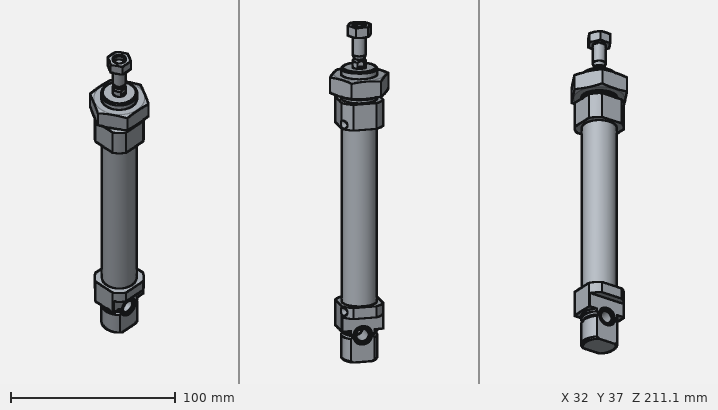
import cadquery as cq
import math

total_length = 211.1
pivot_z = 16.9
tail_groove_z = 16.7
rear_head_bottom = 20.0
rear_step_z = 29.1
tube_bottom = 36.0
front_head_bottom = 148.5
front_head_top = 164.7
collar_top = 166.5
nut_bottom = 168.7
nut_top = 179.9
thread_top = 184.3

tube_diameter = 21.3
thread_diameter = 22.0
groove_diameter = 19.6
thread_end_diameter = 20.0
thread_chamfer = (thread_diameter - thread_end_diameter) / 2
head_width = 26.2
head_corner_diameter = 30.0
tongue_width = 16.0
tail_groove_diameter = 19.6
tail_groove_height = 3.2
tail_chamfer = 1.0
relief_height = 2.0
relief_top = collar_top + relief_height

pivot_diameter = 8.0
pivot_recess_diameter = 11.6
pivot_recess_floor_diameter = 10.1
pivot_recess_depth = 0.8
port_diameter = 5.0
port_offset_x = -8.2
port_depth = 8.5
front_port_z = front_head_bottom + 3.0
rear_port_z = tube_bottom - 3.2

nut_corners = 37.0
nut_chamfer_diameter = 30.8
nut_chamfer_angle = 15.0

rod_diameter = 8.0
rod_bore_depth = 8.5
rod_flats = 7.0
rod_neck_diameter = 6.1
wrench_flat_bottom = 185.5
rod_neck_bottom = 188.3
rod_neck_z = 189.8
rod_neck_top = 192.3
rod_tip_diameter = 6.8
rod_tip_top = 208.0

lock_nut_corners = 14.8
lock_nut_chamfer_diameter = 12.5
lock_nut_height = 6.5
lock_nut_bottom = total_length - lock_nut_height
lock_nut_countersink = (rod_diameter - rod_tip_diameter) / 2


def revolve_about_z(profile):
    """Solid of revolution from (radius, height) points."""
    return cq.Workplane("XZ").polyline(profile).close().revolve(360, (0, 0), (0, 1))


def hex_nut(corners, chamfer_diameter, bottom, top):
    """Hexagonal prism with two flats facing along X and its corners chamfered at both ends."""
    prism = cq.Workplane("XY").workplane(offset=bottom).polygon(6, corners).extrude(top - bottom)
    prism = prism.rotate((0, 0, 0), (0, 0, 1), 30)
    inner = chamfer_diameter / 2
    outer = corners / 2
    drop = (outer - inner) * math.tan(math.radians(nut_chamfer_angle))
    envelope = [
        (0, bottom),
        (inner, bottom),
        (outer, bottom + drop),
        (outer, top - drop),
        (inner, top),
        (0, top),
    ]
    return prism.intersect(revolve_about_z(envelope))


def disc(diameter, bottom, top):
    """Cylinder on the Z axis between two heights."""
    return cq.Workplane("XY").workplane(offset=bottom).circle(diameter / 2).extrude(top - bottom)


def head_block(bottom, top):
    """Square head with its corners rounded about the cylinder axis."""
    height = top - bottom
    block = cq.Workplane("XY").workplane(offset=bottom).rect(head_width, head_width).extrude(height)
    return block.intersect(disc(head_corner_diameter, bottom, top))


def tail_stub():
    """Round tail with a tapered groove and a chamfered end."""
    outer = thread_diameter / 2
    inner = tail_groove_diameter / 2
    half = tail_groove_height / 2
    profile = [
        (0, 0),
        (outer - tail_chamfer, 0),
        (outer, tail_chamfer),
        (outer, tail_groove_z - half),
        (inner, tail_groove_z),
        (outer, tail_groove_z + half),
        (outer, rear_head_bottom),
        (0, rear_head_bottom),
    ]
    return revolve_about_z(profile)


def rear_head():
    """Rear head whose lower part and tail are cut to a flat tongue."""
    lower = head_block(rear_head_bottom, rear_step_z).union(tail_stub())
    slab = cq.Workplane("XY").rect(tongue_width, head_corner_diameter).extrude(rear_step_z)
    return lower.intersect(slab).union(head_block(rear_step_z, tube_bottom))


def front_thread():
    """Mounting thread with a square relief groove above its collar and a chamfered end."""
    outer = thread_diameter / 2
    groove = groove_diameter / 2
    return (
        cq.Workplane("XZ")
        .moveTo(0, front_head_top)
        .lineTo(outer, front_head_top)
        .lineTo(outer, collar_top)
        .lineTo(groove, collar_top)
        .lineTo(groove, relief_top)
        .lineTo(outer, relief_top)
        .lineTo(outer, thread_top - thread_chamfer)
        .lineTo(outer - thread_chamfer, thread_top)
        .lineTo(0, thread_top)
        .close()
        .revolve(360, (0, 0), (0, 1))
    )


def pivot_hole():
    """Cross hole along X with a shallow tapered recess around each mouth."""
    radius = pivot_diameter / 2
    mouth = pivot_recess_diameter / 2
    floor = pivot_recess_floor_diameter / 2
    half = tongue_width / 2
    inset = half - pivot_recess_depth
    profile = [
        (-half, 0),
        (-half, mouth),
        (-inset, floor),
        (-inset, radius),
        (inset, radius),
        (inset, floor),
        (half, mouth),
        (half, 0),
    ]
    hole = cq.Workplane("XY").polyline(profile).close().revolve(360, (0, 0), (1, 0))
    return hole.translate((0, 0, pivot_z))


def port(height):
    """Blind air port entering the +Y side of a head."""
    return (
        cq.Workplane("XZ", origin=(port_offset_x, head_width / 2, height))
        .circle(port_diameter / 2)
        .extrude(port_depth)
    )


def make_housing():
    """Tube with both heads, its ports, pivot hole and rod bore."""
    front_head = head_block(front_head_bottom, front_head_top).union(front_thread())
    housing = rear_head().union(disc(tube_diameter, tube_bottom, front_head_bottom)).union(front_head)
    for port_z in (front_port_z, rear_port_z):
        housing = housing.cut(port(port_z))
    housing = housing.cut(pivot_hole())
    return housing.cut(disc(rod_diameter, thread_top - rod_bore_depth, thread_top))


def make_mounting_nut():
    """Large hexagonal nut on the front thread."""
    nut = hex_nut(nut_corners, nut_chamfer_diameter, nut_bottom, nut_top)
    return nut.cut(disc(thread_diameter, nut_bottom, nut_top))


def wrench_flats():
    """Two blocks that leave a pair of flats facing along X below the rod neck."""
    height = rod_neck_z - wrench_flat_bottom
    blocks = cq.Workplane("XY").workplane(offset=wrench_flat_bottom)
    spacing = rod_flats + rod_diameter
    return blocks.rarray(spacing, 2.1, 2, 1).rect(rod_diameter, rod_diameter).extrude(height)


def make_rod():
    """Piston rod with two wrench flats, a tapered neck and a thinner tip."""
    full = rod_diameter / 2
    neck = rod_neck_diameter / 2
    tip = rod_tip_diameter / 2
    profile = [
        (0, thread_top - rod_bore_depth),
        (full, thread_top - rod_bore_depth),
        (full, rod_neck_bottom),
        (neck, rod_neck_z),
        (full, rod_neck_top),
        (full, lock_nut_bottom),
        (tip, lock_nut_bottom),
        (tip, rod_tip_top),
        (0, rod_tip_top),
    ]
    return revolve_about_z(profile).cut(wrench_flats())


def make_lock_nut():
    """Small hexagonal nut on the rod tip, countersunk at its open end."""
    nut = hex_nut(lock_nut_corners, lock_nut_chamfer_diameter, lock_nut_bottom, total_length)
    nut = nut.cut(disc(rod_tip_diameter, lock_nut_bottom, total_length))
    countersink = [
        (0, total_length),
        (rod_diameter / 2, total_length),
        (rod_tip_diameter / 2, total_length - lock_nut_countersink),
        (0, total_length - lock_nut_countersink),
    ]
    return nut.cut(revolve_about_z(countersink))


housing = make_housing()
mounting_nut = make_mounting_nut()
rod = make_rod()
lock_nut = make_lock_nut()

result = cq.Compound.makeCompound([housing.val(), mounting_nut.val(), rod.val(), lock_nut.val()])